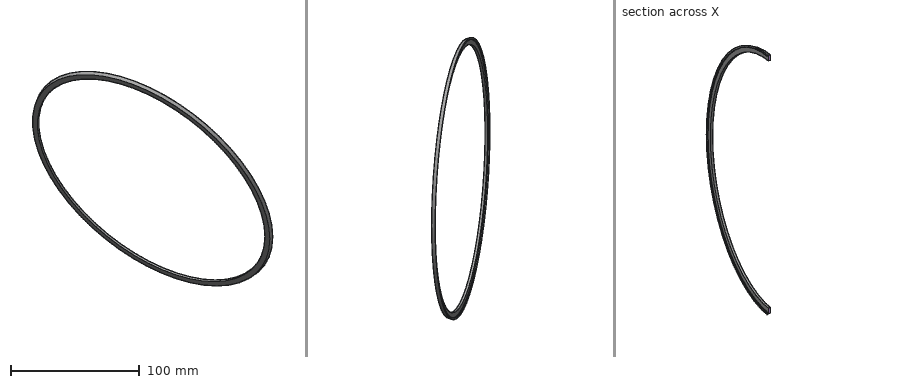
import cadquery as cq

BACK_DIAMETER = 220.0
OUTER_TAPER = 0.9
BORE_DIAMETER = 209.0
RECESS_DIAMETER = 217.0
RECESS_DEPTH = 0.9
THICKNESS = 3.0

back_radius = BACK_DIAMETER / 2
front_radius = back_radius - OUTER_TAPER
bore_radius = BORE_DIAMETER / 2
recess_radius = RECESS_DIAMETER / 2
front_y = -THICKNESS / 2
back_y = THICKNESS / 2
recess_floor_y = back_y - RECESS_DEPTH


def revolve_about_y(section):
    """Revolve a closed (radius, y) outline a full turn about the Y axis."""
    return cq.Workplane("XY").polyline(section).close().revolve(360, (0, 0), (0, 1))


def tapered_ring():
    """Ring with a straight bore and a conical outside that widens to the back."""
    section = [
        (bore_radius, front_y),
        (front_radius, front_y),
        (back_radius, back_y),
        (bore_radius, back_y),
    ]
    return revolve_about_y(section)


def back_recess():
    """Disc that counterbores the bore from the back face."""
    section = [
        (0, recess_floor_y),
        (recess_radius, recess_floor_y),
        (recess_radius, back_y),
        (0, back_y),
    ]
    return revolve_about_y(section)


result = tapered_ring().cut(back_recess())